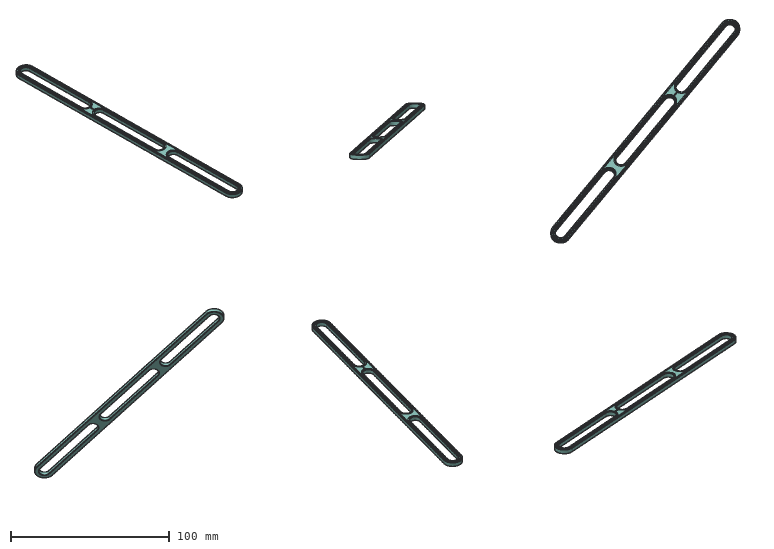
import cadquery as cq

length = 187.5
width = 12.5
thickness = 3.2

slot_count = 3
wall = 2.8
web = 2 * wall

edge_chamfer = 0.34

rim = 1.1
groove_depth = 0.2

score_width = 0.5
score_depth = 0.2

slot_width = width - 2 * wall
slot_length = (length - 2 * wall - (slot_count - 1) * web) / slot_count
slot_pitch = slot_length + web
first_slot = -slot_pitch * (slot_count - 1) / 2
slot_centers = [(first_slot + i * slot_pitch, 0) for i in range(slot_count)]


def stadiums(centers, size_x, size_y, base, height):
    """Round-ended prisms standing on the plane z = base."""
    plane = cq.Workplane("XY").workplane(offset=base)
    return plane.pushPoints(centers).slot2D(size_x, size_y).extrude(height)


def slotted_bar():
    """Round-ended bar with its slots, chamfered on all top and bottom edges."""
    bar = stadiums([(0, 0)], length, width, 0, thickness)
    slots = stadiums(slot_centers, slot_length, slot_width, 0, thickness)
    return bar.cut(slots).faces("<Z or >Z").edges().chamfer(edge_chamfer)


def top_groove():
    """Recess between the outer rim and the slot rims; it widens over the webs."""
    floor = thickness - groove_depth
    recess = stadiums([(0, 0)], length - 2 * rim, width - 2 * rim, floor, groove_depth)
    slot_rims = stadiums(
        slot_centers, slot_length + 2 * rim, slot_width + 2 * rim, floor, groove_depth
    )
    return recess.cut(slot_rims)


def web_score():
    """Score line on the bar's axis, joining the slot rims on either side of the first web."""
    first_web = first_slot + slot_pitch / 2
    base = thickness - groove_depth - score_depth
    plane = cq.Workplane("XY").workplane(offset=base).center(first_web, 0)
    return plane.rect(web - 2 * rim, score_width).extrude(score_depth)


result = slotted_bar().cut(top_groove()).cut(web_score())